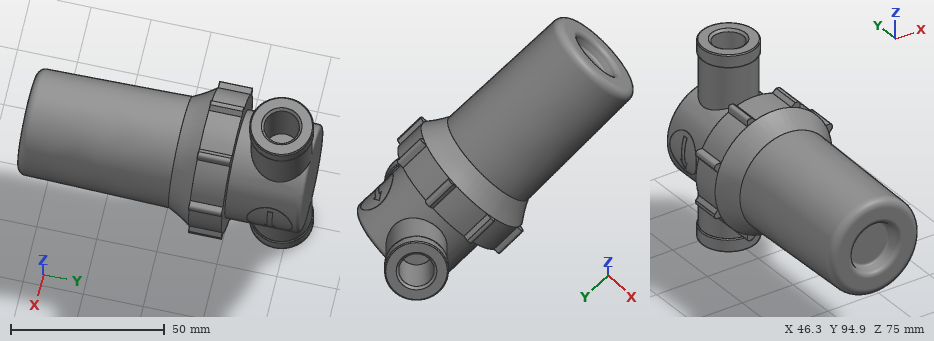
import cadquery as cq
import math

TOTAL_LENGTH = 94.9
TOTAL_HEIGHT = 75.0

PIPE_RADIUS = 19.8 / 2
COLLAR_RADIUS = 20.8 / 2
COLLAR_HEIGHT = 5.0
COLLAR_CHAMFER = 0.4
BORE_RADIUS = 11.5 / 2
BORE_CHAMFER = 0.9
BORE_DEPTH = 19.0

HEAD_RADIUS = 36.0 / 2
HEAD_FILLET = 1.4
NUT_RADIUS = 46.0 / 2
NUT_BACK_Y = -14.9
NUT_FRONT_Y = -25.8
SHOULDER_END_Y = -33.5
SHOULDER_SAG = 0.3

BOWL_BACK_RADIUS = 18.5
BOWL_FRONT_RADIUS = 17.65
BOWL_FILLET = 2.8

RECESS_FLOOR_RADIUS = 15.0 / 2
RECESS_DEPTH = 4.4
RECESS_FLOOR_FILLET = 0.95
RECESS_RIM_FILLET = 1.9
RECESS_TAPER = 0.4

LUG_REACH = 46.3 / 2
LUG_SIDE = 10.3
LUG_TOP_WIDTH = 1.8
LUG_FOOT_WIDTH = 3.4
LUG_FOOT_REACH = 21.8
LUG_ROOT_REACH = 19.0
LUG_ROUND = 0.95

MARK_RADIUS = 7.6
MARK_DEPTH = 0.1
ARROW_TOP = 5.9
ARROW_TIP = -6.1
ARROW_HEAD_TOP = -3.0
SHAFT_HALF_WIDTH = 0.9
HEAD_HALF_WIDTH = 1.8

BACK_Y = PIPE_RADIUS
FRONT_Y = COLLAR_RADIUS - TOTAL_LENGTH
PIPE_END_Z = TOTAL_HEIGHT / 2
QUARTER = math.sqrt(0.5)


def housing():
    """Head, nut, shoulder and bowl turned about Y as one profile."""
    shoulder_middle = (
        (NUT_RADIUS + BOWL_BACK_RADIUS) / 2 - SHOULDER_SAG,
        (NUT_FRONT_Y + SHOULDER_END_Y) / 2,
    )
    bowl_arc_center = (BOWL_FRONT_RADIUS - BOWL_FILLET, FRONT_Y + BOWL_FILLET)
    bowl_arc_middle = (
        bowl_arc_center[0] + BOWL_FILLET * QUARTER,
        bowl_arc_center[1] - BOWL_FILLET * QUARTER,
    )
    wall_inner = RECESS_FLOOR_RADIUS + RECESS_FLOOR_FILLET
    wall_outer = wall_inner + RECESS_TAPER
    rim_radius = wall_outer + RECESS_RIM_FILLET
    floor_y = FRONT_Y + RECESS_DEPTH
    rim_arc_middle = (
        rim_radius - RECESS_RIM_FILLET * QUARTER,
        FRONT_Y + RECESS_RIM_FILLET * (1 - QUARTER),
    )
    floor_arc_middle = (
        RECESS_FLOOR_RADIUS + RECESS_FLOOR_FILLET * QUARTER,
        floor_y - RECESS_FLOOR_FILLET * (1 - QUARTER),
    )
    head_arc_middle = (
        HEAD_RADIUS - HEAD_FILLET * (1 - QUARTER),
        BACK_Y - HEAD_FILLET * (1 - QUARTER),
    )
    profile = (
        cq.Workplane("XY")
        .moveTo(0, BACK_Y)
        .lineTo(HEAD_RADIUS - HEAD_FILLET, BACK_Y)
        .threePointArc(head_arc_middle, (HEAD_RADIUS, BACK_Y - HEAD_FILLET))
        .lineTo(HEAD_RADIUS, NUT_BACK_Y)
        .lineTo(NUT_RADIUS, NUT_BACK_Y)
        .lineTo(NUT_RADIUS, NUT_FRONT_Y)
        .threePointArc(shoulder_middle, (BOWL_BACK_RADIUS, SHOULDER_END_Y))
        .lineTo(BOWL_FRONT_RADIUS, FRONT_Y + BOWL_FILLET)
        .threePointArc(bowl_arc_middle, (bowl_arc_center[0], FRONT_Y))
        .lineTo(rim_radius, FRONT_Y)
        .threePointArc(rim_arc_middle, (wall_outer, FRONT_Y + RECESS_RIM_FILLET))
        .lineTo(wall_inner, floor_y - RECESS_FLOOR_FILLET)
        .threePointArc(floor_arc_middle, (RECESS_FLOOR_RADIUS, floor_y))
        .lineTo(0, floor_y)
        .close()
    )
    return profile.revolve(360, (0, 0, 0), (0, 1, 0))


def grip_lugs():
    """A mirrored pair of lugs on each of the four sides, along the nut."""
    outer_corner = (-LUG_SIDE, (NUT_BACK_Y + NUT_FRONT_Y) / 2, LUG_REACH)
    lug = (
        cq.Workplane("XZ", origin=(0, NUT_BACK_Y, 0))
        .moveTo(-LUG_SIDE, LUG_ROOT_REACH)
        .lineTo(-LUG_SIDE, LUG_REACH)
        .lineTo(-LUG_SIDE + LUG_TOP_WIDTH, LUG_REACH)
        .lineTo(-LUG_SIDE + LUG_FOOT_WIDTH, LUG_FOOT_REACH)
        .lineTo(-LUG_SIDE + LUG_FOOT_WIDTH, LUG_ROOT_REACH)
        .close()
        .extrude(NUT_BACK_Y - NUT_FRONT_Y)
        .edges("|Y")
        .edges(cq.NearestToPointSelector(outer_corner))
        .fillet(LUG_ROUND)
    )
    pair = lug.union(lug.mirror("YZ"))
    lugs = pair
    for turn in (90, 180, 270):
        lugs = lugs.union(pair.rotate((0, 0, 0), (0, 1, 0), turn))
    return lugs


def pipe_stub():
    """Upper pipe stub with its end collar."""
    collar = (
        cq.Workplane("XY", origin=(0, 0, PIPE_END_Z - COLLAR_HEIGHT))
        .circle(COLLAR_RADIUS)
        .extrude(COLLAR_HEIGHT)
        .edges()
        .chamfer(COLLAR_CHAMFER)
    )
    return cq.Workplane("XY").circle(PIPE_RADIUS).extrude(PIPE_END_Z).union(collar)


def pipe_bore():
    """Blind bore of the upper stub with a chamfered mouth."""
    return (
        cq.Workplane("XZ")
        .moveTo(0, PIPE_END_Z)
        .lineTo(BORE_RADIUS + BORE_CHAMFER, PIPE_END_Z)
        .lineTo(BORE_RADIUS, PIPE_END_Z - BORE_CHAMFER)
        .lineTo(BORE_RADIUS, PIPE_END_Z - BORE_DEPTH)
        .lineTo(0, PIPE_END_Z - BORE_DEPTH)
        .close()
        .revolve(360, (0, 0, 0), (0, 1, 0))
    )


def flow_marks():
    """Shallow round recesses around a flush arrow, on both sides of the head."""
    arrow = (
        cq.Workplane("YZ")
        .moveTo(-SHAFT_HALF_WIDTH, ARROW_TOP)
        .lineTo(SHAFT_HALF_WIDTH, ARROW_TOP)
        .lineTo(SHAFT_HALF_WIDTH, ARROW_HEAD_TOP)
        .lineTo(HEAD_HALF_WIDTH, ARROW_HEAD_TOP)
        .lineTo(0, ARROW_TIP)
        .lineTo(-HEAD_HALF_WIDTH, ARROW_HEAD_TOP)
        .lineTo(-SHAFT_HALF_WIDTH, ARROW_HEAD_TOP)
        .close()
        .extrude(NUT_RADIUS, both=True)
    )
    disc = cq.Workplane("YZ").circle(MARK_RADIUS).extrude(NUT_RADIUS, both=True)
    core = (
        cq.Workplane("XZ")
        .circle(HEAD_RADIUS - MARK_DEPTH)
        .extrude(NUT_RADIUS, both=True)
    )
    return disc.cut(arrow).cut(core)


result = housing().union(grip_lugs()).cut(flow_marks())
stub = pipe_stub()
bore = pipe_bore()
result = result.union(stub).union(stub.mirror("XY"))
result = result.cut(bore).cut(bore.mirror("XY"))